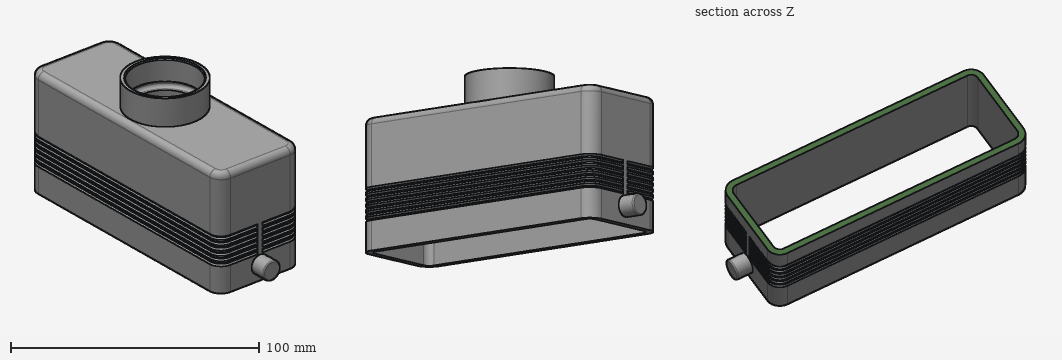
import cadquery as cq

body_length = 120.2
body_width = 43.0
body_height = 55.1
corner_radius = 6.0
top_edge_radius = 3.0
wall = 3.0

total_height = 68.0
collar_diameter = 36.2
bore_diameter = 32.0
rim_chamfer = 0.5
relief_depth = 0.5
relief_height = 2.5
relief_floor_radius = 1.6
entry_hole_diameter = 27.0
bore_floor_z = body_height

pin_span = 135.0
pin_diameter = 8.9
pin_height = 7.4
pin_tip_radius = 0.5

groove_count = 6
groove_pitch = 2.4
groove_width = 1.6
groove_depth = 0.7
lowest_groove_z = 13.2
end_rib_width = 2.7


def rounded_block(length, width, height, radius):
    """Block standing on the XY plane with rounded vertical edges."""
    return cq.Workplane("XY").rect(length, width).extrude(height).edges("|Z").fillet(radius)


def make_shell():
    outside = rounded_block(body_length, body_width, body_height, corner_radius)
    outside = outside.faces(">Z").edges().fillet(top_edge_radius)
    cavity = rounded_block(
        body_length - 2 * wall,
        body_width - 2 * wall,
        body_height - wall,
        corner_radius - wall,
    )
    return outside.cut(cavity)


def make_groove(center_z):
    """V-shaped bar bent along the body outline."""
    outline = rounded_block(body_length, body_width, body_height, corner_radius)
    path = outline.faces("<Z").wires().translate((0, 0, center_z))
    half_width = groove_width / 2
    return (
        cq.Workplane("YZ", origin=(0, -body_width / 2, center_z))
        .polyline([(0, -half_width), (groove_depth, 0), (0, half_width)])
        .close()
        .sweep(path)
    )


def make_grooves():
    """Stack of grooves, interrupted by an upright rib at the middle of each end face."""
    end_rib = cq.Workplane("XY").box(
        pin_span, end_rib_width, body_height, centered=(True, True, False)
    )
    groove = make_groove(lowest_groove_z).cut(end_rib)
    grooves = cq.Workplane("XY")
    for index in range(groove_count):
        grooves = grooves.add(groove.translate((0, 0, index * groove_pitch)))
    return grooves.combine()


def make_collar():
    return (
        cq.Workplane("XY")
        .workplane(offset=body_height - wall)
        .circle(collar_diameter / 2)
        .extrude(total_height - body_height + wall)
    )


def make_entry_bore():
    """Chamfered bore with a relief groove at its floor, continued by a smaller hole into the cavity."""
    bore_radius = bore_diameter / 2
    hole_radius = entry_hole_diameter / 2
    relief_radius = bore_radius + relief_depth
    return (
        cq.Workplane("XZ")
        .lineTo(hole_radius, 0)
        .lineTo(hole_radius, bore_floor_z)
        .lineTo(relief_radius - relief_floor_radius, bore_floor_z)
        .radiusArc((relief_radius, bore_floor_z + relief_floor_radius), -relief_floor_radius)
        .lineTo(relief_radius, bore_floor_z + relief_height)
        .lineTo(bore_radius, bore_floor_z + relief_height)
        .lineTo(bore_radius, total_height - rim_chamfer)
        .lineTo(bore_radius + rim_chamfer, total_height)
        .lineTo(0, total_height)
        .close()
        .revolve(360, (0, 0, 0), (0, 1, 0))
    )


def make_pin():
    """Pin on the -X end face, rooted in the wall and rounded at its tip."""
    pin_length = (pin_span - body_length) / 2 + wall
    pin = cq.Workplane("YZ", origin=(-pin_span / 2, 0, pin_height)).circle(pin_diameter / 2)
    return pin.extrude(pin_length).faces("<X").edges().fillet(pin_tip_radius)


pin = make_pin()
result = make_shell().cut(make_grooves())
result = result.union(make_collar()).cut(make_entry_bore())
result = result.union(pin).union(pin.mirror("YZ"))